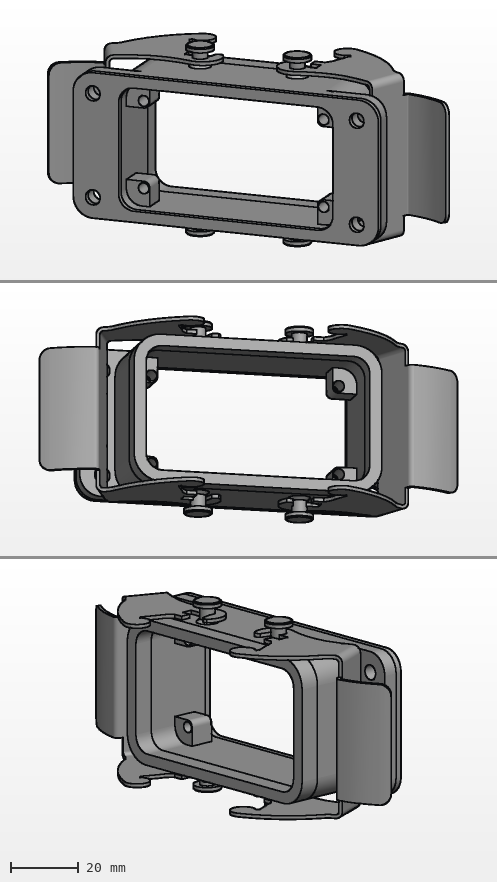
import cadquery as cq
import math


body_half_x = 37.6
body_half_z = 22.2
body_corner = 8.1
flange_half_x = 48.3
flange_corner = 6.2
flange_top = 6.6
gasket_thickness = 2.0
seal_bottom = 23.8
rim_top = 30.0

opening_half_x = 34.0
opening_half_z = 18.8
opening_corner = 5.0

mount_hole_left_x = -42.1
mount_hole_right_x = 41.5
mount_hole_z = 15.9
mount_hole_diameter = 4.6

lug_inner_x = 26.6
lug_inner_z = 11.2
lug_corner = 1.9
lug_bottom = 6.4
lug_top = 14.2
lug_hole_x = 28.5
lug_hole_z = 13.3
lug_hole_diameter = 3.3

pin_x = 15.4
pin_y = 18.5
pin_end_z = 28.9
pin_radius = 2.3
pin_head_radius = 4.2
pin_head_height = 1.5
pin_head_chamfer = 0.4
pin_foot_radius = 3.3

sheet = 1.1
lever_half_z = 24.9
bend_inside = 1.1
bend_outside = bend_inside + sheet

wall_lean = 23.2
wall_low_x = -42.2
wall_low_y = 10.7
wall_length = 13.3

grip_half_z = 18.4
grip_straight = 1.3
grip_bend_inside = 0.4
grip_start_slope = 10
grip_end_slope = 40.6
grip_outside = 31.4
grip_corner = 3.4

foot_half_z = 7.8
foot_bend_inside = 3.8
foot_curl_inside = 2.7
foot_curl_angle = 39
foot_corner = 0.8

hook_x = -22.9
hook_y = 39.9
hook_radius = 4.0
tail_x = -15.0
tail_y = 19.7
tail_radius = 6.1
finger_left = -20.8
finger_right = -17.8
finger_top = 26.7
finger_bottom = 23.4
notch_floor = 20.0
hook_start_angle = 118
hook_nose_angle = 10
hook_end_angle = 262
tail_start_angle = 40
tail_nose_angle = -35
tail_end_angle = 250
cradle_end_angle = 25
back_hollow = (-43.5, 25.2)
back_low = (-42.6, 26.6)
back_middle = (-36.0, 35.5)
throat_top = (-25.0, 36.7)
throat_side = (-25.5, 35.8)
throat_low = (-23.3, 30.8)
throat_hollow = (-22.4, 28.5)
tip_inner = (-12.3, 23.3)
tip_crown = (-11.2, 23.8)
belly_crown = (-26.5, 15.3)
belly_rise = (-31.5, 14.7)
belly_low = (-35.8, 13.3)


def polar(x, y, radius, degrees):
    """Point at a distance and direction from (x, y)."""
    angle = math.radians(degrees)
    return (x + radius * math.cos(angle), y + radius * math.sin(angle))


def rounded_block(half_x, half_z, corner, bottom, top):
    """Block with rounded corners, centred on the Y axis."""
    plan = cq.Workplane("XZ", origin=(0, top, 0)).rect(2 * half_x, 2 * half_z)
    return plan.extrude(top - bottom).edges("|Y").fillet(corner)


def drilled(shape, left_x, right_x, hole_z, diameter):
    """Drill four holes along Y, right through the shape, at two X places and at +/- hole_z."""
    centres = [(x, z) for x in (left_x, right_x) for z in (-hole_z, hole_z)]
    plan = cq.Workplane("XZ", origin=(0, rim_top, 0)).pushPoints(centres)
    return shape.cut(plan.circle(diameter / 2).extrude(rim_top))


def mount_drilled(slab):
    return drilled(slab, mount_hole_left_x, mount_hole_right_x, mount_hole_z, mount_hole_diameter)


def make_opening():
    return rounded_block(opening_half_x, opening_half_z, opening_corner, 0, rim_top)


def make_gasket():
    slab = rounded_block(flange_half_x, body_half_z, flange_corner, 0, gasket_thickness)
    return mount_drilled(slab.cut(make_opening()))


def make_seal():
    slab = rounded_block(body_half_x, body_half_z, body_corner, seal_bottom, rim_top)
    return slab.cut(make_opening())


def make_lugs():
    """Four screw lugs in the corners of the opening."""
    height = lug_top - lug_bottom
    top_plane = cq.Workplane("XZ", origin=(0, lug_top, 0))
    block = rounded_block(opening_half_x, opening_half_z, opening_corner, lug_bottom, lug_top)
    long_gap = top_plane.rect(2 * body_half_x, 2 * lug_inner_z).extrude(height)
    cross_gap = top_plane.rect(2 * lug_inner_x, 2 * body_half_z).extrude(height)
    lugs = block.cut(long_gap).cut(cross_gap)
    around_gaps = cq.selectors.BoxSelector(
        (-lug_inner_x - lug_corner, lug_bottom, -lug_inner_z - lug_corner),
        (lug_inner_x + lug_corner, lug_top, lug_inner_z + lug_corner),
    )
    lugs = lugs.edges("|Y").edges(around_gaps).fillet(lug_corner)
    return drilled(lugs, -lug_hole_x, lug_hole_x, lug_hole_z, lug_hole_diameter)


def make_pin():
    """Headed pin with a conical foot, standing on the +Z side of the housing at +X."""
    head_bottom = pin_end_z - pin_head_height
    foot_top = body_half_z + pin_foot_radius - pin_radius
    outline = [
        (0, opening_half_z),
        (pin_radius, opening_half_z),
        (pin_radius, body_half_z),
        (pin_foot_radius, body_half_z),
        (pin_radius, foot_top),
        (pin_radius, head_bottom),
        (pin_head_radius, head_bottom),
        (pin_head_radius, pin_end_z - pin_head_chamfer),
        (pin_head_radius - pin_head_chamfer, pin_end_z),
        (0, pin_end_z),
    ]
    turned = cq.Workplane("XZ").polyline(outline).close().revolve(360, (0, 0, 0), (0, 1, 0))
    return turned.translate((pin_x, pin_y, 0))


def make_housing():
    flange = rounded_block(flange_half_x, body_half_z, flange_corner, gasket_thickness, flange_top)
    body = rounded_block(body_half_x, body_half_z, body_corner, gasket_thickness, seal_bottom)
    housing = mount_drilled(flange).union(body).cut(make_opening()).union(make_lugs())
    pin = make_pin()
    pin_pair = pin.union(pin.mirror("YZ"))
    return housing.union(pin_pair).union(pin_pair.mirror("XY"))


def curved_strip(centre, inside, start, end, half_z):
    """Sheet strip curved about a line parallel to Z, between two directions in degrees."""
    middle = (start + end) / 2
    outside = inside + sheet
    return (
        cq.Workplane("XY", origin=(0, 0, -half_z))
        .moveTo(*polar(*centre, inside, start))
        .lineTo(*polar(*centre, outside, start))
        .threePointArc(polar(*centre, outside, middle), polar(*centre, outside, end))
        .lineTo(*polar(*centre, inside, end))
        .threePointArc(polar(*centre, inside, middle), polar(*centre, inside, start))
        .close()
        .extrude(2 * half_z)
    )


def wall_point(along, depth=0.0):
    """Point on the end wall: distance up from its lower corner, and depth in from its outer face."""
    on_face = polar(wall_low_x, wall_low_y, along, 90 + wall_lean)
    return polar(*on_face, depth, wall_lean)


def straight_strip(low, high, half_z):
    """Flat sheet strip in the plane of the end wall, between two distances along it."""
    corners = [wall_point(low), wall_point(low, sheet), wall_point(high, sheet), wall_point(high)]
    return cq.Workplane("XY", origin=(0, 0, -half_z)).polyline(corners).close().extrude(2 * half_z)


def make_channel():
    """U-shaped sheet channel with its base on the end wall, large enough to contain both arms."""
    reach = flange_half_x
    length = 2 * flange_half_x

    def tray(start, half_z, radius):
        block = cq.Workplane("XY").box(reach, length, 2 * half_z).translate((start + reach / 2, 0, 0))
        return block.edges("|Y and <X").fillet(radius)

    channel = tray(0, lever_half_z, bend_outside).cut(tray(sheet, lever_half_z - sheet, bend_inside))
    channel = channel.rotate((0, 0, 0), (0, 0, 1), wall_lean)
    return channel.translate((wall_low_x, wall_low_y, 0))


def make_arm_outline():
    """Lever outline in XY: end wall, back, hook, finger, notch, pin cradle, tail and belly."""
    left_pin_x = -pin_x
    floor_rise = notch_floor - pin_y
    cradle_left = left_pin_x - math.sqrt(pin_radius**2 - floor_rise**2)
    cradle_end = polar(left_pin_x, pin_y, pin_radius, cradle_end_angle)

    def on_hook(degrees):
        return polar(hook_x, hook_y, hook_radius, degrees)

    def on_tail(degrees):
        return polar(tail_x, tail_y, tail_radius, degrees)

    return (
        cq.Workplane("XY", origin=(0, 0, -lever_half_z))
        .moveTo(wall_low_x, wall_low_y)
        .lineTo(*wall_point(wall_length))
        .lineTo(*wall_point(wall_length, bend_outside))
        .threePointArc(back_hollow, back_low)
        .threePointArc(back_middle, on_hook(hook_start_angle))
        .threePointArc(on_hook(hook_nose_angle), on_hook(hook_end_angle))
        .lineTo(*throat_top)
        .lineTo(*throat_side)
        .lineTo(*throat_low)
        .threePointArc(throat_hollow, (finger_left, finger_top))
        .lineTo(finger_right, finger_top)
        .lineTo(finger_right, finger_bottom)
        .lineTo(finger_left, finger_bottom)
        .lineTo(finger_left, notch_floor)
        .lineTo(cradle_left, notch_floor)
        .threePointArc((left_pin_x, pin_y - pin_radius), cradle_end)
        .lineTo(*tip_inner)
        .threePointArc(tip_crown, on_tail(tail_start_angle))
        .threePointArc(on_tail(tail_nose_angle), on_tail(tail_end_angle))
        .threePointArc(belly_crown, belly_rise)
        .lineTo(*belly_low)
        .close()
    )


def make_grip():
    strip_end = wall_length + grip_straight
    bend_centre = wall_point(strip_end, -grip_bend_inside)
    bend_end = 90 + grip_start_slope
    grip_centre = polar(*bend_centre, grip_bend_inside + sheet - grip_outside, bend_end)
    bend = curved_strip(bend_centre, grip_bend_inside, wall_lean, bend_end, grip_half_z)
    grip = curved_strip(grip_centre, grip_outside - sheet, bend_end, 90 + grip_end_slope, grip_half_z)
    grip = grip.faces("<X").edges("not(|Z)").fillet(grip_corner)
    return straight_strip(wall_length, strip_end, grip_half_z).union(bend).union(grip)


def make_foot():
    bend_centre = wall_point(0, -foot_bend_inside)
    curl_centre = (bend_centre[0] + foot_bend_inside - foot_curl_inside, bend_centre[1])
    bend = curved_strip(bend_centre, foot_bend_inside, wall_lean, 0, foot_half_z)
    curl = curved_strip(curl_centre, foot_curl_inside, 0, -foot_curl_angle, foot_half_z)
    curl = curl.faces("<Y").edges("not(|Z)").fillet(foot_corner)
    return bend.union(curl)


def make_lever():
    """Lever on the -X side of the housing."""
    arms = make_arm_outline().extrude(2 * lever_half_z)
    return arms.intersect(make_channel()).union(make_grip()).union(make_foot())


housing = make_housing()
gasket = make_gasket()
seal = make_seal()
left_lever = make_lever()
right_lever = left_lever.mirror("YZ")

result = cq.Compound.makeCompound(
    [housing.val(), gasket.val(), seal.val(), left_lever.val(), right_lever.val()]
)